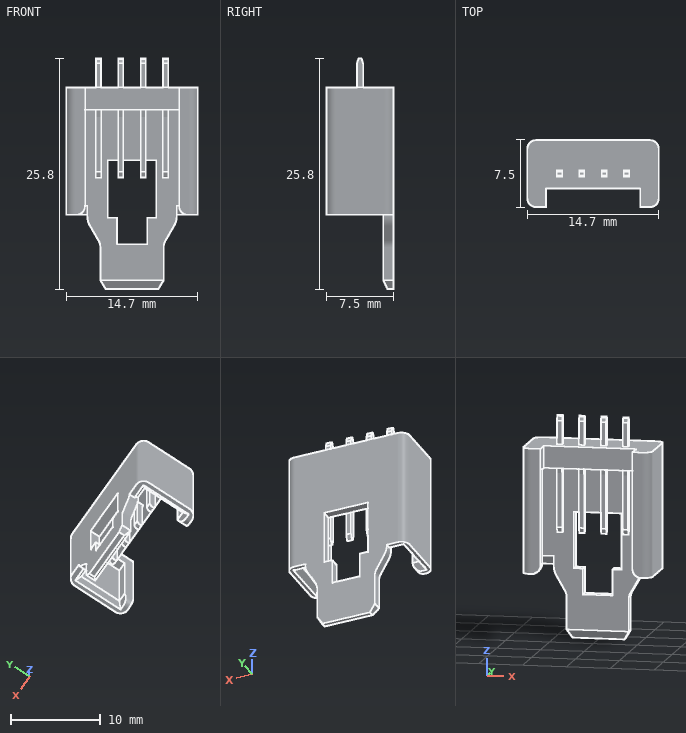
import cadquery as cq
import math

TOTAL_HEIGHT = 25.8
BODY_WIDTH = 14.7
BODY_DEPTH = 7.5
BODY_HEIGHT = 14.25
PIN_RISE = 3.28
BODY_TOP = TOTAL_HEIGHT - PIN_RISE
BODY_BOTTOM = BODY_TOP - BODY_HEIGHT
BACK = BODY_DEPTH / 2
FRONT = -BACK
CORNER_RADIUS = 1.0

WALL = 1.19
SIDE_WALL = 1.05
ROOF = 2.5
SLOT_WIDTH = 10.5
TOP_NOTCH_DEPTH = 2.1
CAVITY_WIDTH = BODY_WIDTH - 2 * SIDE_WALL
CAVITY_FRONT = FRONT + WALL
CAVITY_BACK = BACK - WALL
CAVITY_TOP = BODY_TOP - ROOF

BEVEL_HEIGHT = 1.0
BEVEL_DEPTH = 0.5
FOOT_SIDE_INSET = 0.6

TONGUE_WIDTH = 10.0
TONGUE_TIP_WIDTH = 7.1
TAPER_ANGLE = math.radians(30)
TAPER_TOP = BODY_BOTTOM - 0.15
SHOULDER_RADIUS = 2.0
NECK_RADIUS = 1.4

WINDOW_TOP = BODY_TOP - 8.15
WINDOW_STEP = BODY_TOP - 14.55
WINDOW_BOTTOM = BODY_TOP - 17.5
WINDOW_WIDTH = 5.4
WINDOW_LOWER_WIDTH = 3.35

PIN_COUNT = 4
PIN_PITCH = 2.5
PIN_WIDTH = 0.6
PIN_THICKNESS = 0.72
PIN_BOTTOM = BODY_TOP - 10.05
PIN_TOP_TAPER = 0.6
PIN_TOP_NOSE = 0.1
PIN_BOTTOM_TAPER = 0.65
PIN_BOTTOM_NOSE = 0.15
PIN_NOSE_WIDTH = 0.39
PIN_ROOT_LENGTH = 0.77
PIN_ROOT_FLARE = 0.13


def box(width, y_range, z_range):
    """A block centred on X that fills the given Y and Z ranges."""
    (y0, y1), (z0, z1) = y_range, z_range
    return cq.Workplane("XY", origin=(0, (y0 + y1) / 2, z0)).box(
        width, y1 - y0, z1 - z0, centered=(True, True, False)
    )


def make_shell():
    """Rounded block with the top front notch, the socket and its front slot."""
    shell = box(BODY_WIDTH, (FRONT, BACK), (BODY_BOTTOM, BODY_TOP)).edges("|Z").fillet(CORNER_RADIUS)
    shell = shell.cut(box(SLOT_WIDTH, (FRONT, FRONT + TOP_NOTCH_DEPTH), (BODY_BOTTOM, BODY_TOP)))
    shell = shell.cut(box(CAVITY_WIDTH, (CAVITY_FRONT, CAVITY_BACK), (BODY_BOTTOM, CAVITY_TOP)))
    return shell.cut(make_mouth()).cut(make_lip_rounding())


def make_mouth():
    """Cutter for the bevelled lead-in around all four walls of the socket."""
    half = CAVITY_WIDTH / 2
    depth = CAVITY_BACK - CAVITY_FRONT
    middle = (CAVITY_BACK + CAVITY_FRONT) / 2
    return (
        cq.Workplane("XY", origin=(0, middle, BODY_BOTTOM))
        .rect(2 * (half + BEVEL_DEPTH), depth + 2 * BEVEL_DEPTH)
        .workplane(offset=BEVEL_HEIGHT)
        .rect(2 * half, depth)
        .loft()
    )


def make_lip_rounding():
    """Cutter that rounds the lower inner corners of the two front lips."""
    half = SLOT_WIDTH / 2
    r = CORNER_RADIUS
    reach = r * (1 - math.cos(math.radians(45)))
    return (
        cq.Workplane("XZ", origin=(0, CAVITY_FRONT, 0))
        .moveTo(-half - r, BODY_BOTTOM)
        .threePointArc((-half - reach, BODY_BOTTOM + reach), (-half, BODY_BOTTOM + r))
        .lineTo(half, BODY_BOTTOM + r)
        .threePointArc((half + reach, BODY_BOTTOM + reach), (half + r, BODY_BOTTOM))
        .close()
        .extrude(WALL)
    )


def make_tongue():
    """Plate flush with the back wall, tapered in width and bevelled at the foot."""
    top_x = TONGUE_WIDTH / 2
    neck_x = TONGUE_TIP_WIDTH / 2
    sin_a, cos_a = math.sin(TAPER_ANGLE), math.cos(TAPER_ANGLE)
    sin_half, cos_half = math.sin(TAPER_ANGLE / 2), math.cos(TAPER_ANGLE / 2)
    arcs_inset = (SHOULDER_RADIUS + NECK_RADIUS) * (1 - cos_a)
    slope_drop = (top_x - neck_x - arcs_inset) / math.tan(TAPER_ANGLE)

    slope_top = (top_x - SHOULDER_RADIUS * (1 - cos_a), TAPER_TOP - SHOULDER_RADIUS * sin_a)
    slope_bottom_z = slope_top[1] - slope_drop
    slope_bottom = (neck_x + NECK_RADIUS * (1 - cos_a), slope_bottom_z)
    neck_z = slope_bottom_z - NECK_RADIUS * sin_a
    shoulder_mid = (top_x - SHOULDER_RADIUS * (1 - cos_half), TAPER_TOP - SHOULDER_RADIUS * sin_half)
    neck_mid = (neck_x + NECK_RADIUS * (1 - cos_half), neck_z + NECK_RADIUS * sin_half)

    half_tongue = (
        cq.Workplane("XZ", origin=(0, BACK, 0))
        .moveTo(0, 0)
        .lineTo(neck_x - FOOT_SIDE_INSET, 0)
        .lineTo(neck_x, BEVEL_HEIGHT)
        .lineTo(neck_x, neck_z)
        .threePointArc(neck_mid, slope_bottom)
        .lineTo(*slope_top)
        .threePointArc(shoulder_mid, (top_x, TAPER_TOP))
        .lineTo(top_x, WINDOW_TOP)
        .lineTo(0, WINDOW_TOP)
        .close()
        .extrude(WALL)
    )
    foot_bevel = (
        cq.Workplane("YZ")
        .polyline([(CAVITY_BACK, 0), (CAVITY_BACK + BEVEL_DEPTH, 0), (CAVITY_BACK, BEVEL_HEIGHT)])
        .close()
        .extrude(TONGUE_WIDTH / 2, both=True)
    )
    return half_tongue.union(half_tongue.mirror("YZ")).cut(foot_bevel)


def make_window():
    """Stepped opening, wide above and narrow below."""
    y_range = (CAVITY_BACK, BACK)
    upper = box(WINDOW_WIDTH, y_range, (WINDOW_STEP, WINDOW_TOP))
    return upper.union(box(WINDOW_LOWER_WIDTH, y_range, (WINDOW_BOTTOM, WINDOW_STEP)))


def make_pin(x):
    """One contact: tapered, rounded ends and a front flare under the socket roof."""
    half = PIN_THICKNESS / 2
    nose = PIN_NOSE_WIDTH / 2
    return (
        cq.Workplane("YZ", origin=(x - PIN_WIDTH / 2, 0, 0))
        .moveTo(-half, PIN_BOTTOM + PIN_BOTTOM_TAPER)
        .lineTo(-nose, PIN_BOTTOM + PIN_BOTTOM_NOSE)
        .threePointArc((0, PIN_BOTTOM), (nose, PIN_BOTTOM + PIN_BOTTOM_NOSE))
        .lineTo(half, PIN_BOTTOM + PIN_BOTTOM_TAPER)
        .lineTo(half, TOTAL_HEIGHT - PIN_TOP_TAPER)
        .lineTo(nose, TOTAL_HEIGHT - PIN_TOP_NOSE)
        .threePointArc((0, TOTAL_HEIGHT), (-nose, TOTAL_HEIGHT - PIN_TOP_NOSE))
        .lineTo(-half, TOTAL_HEIGHT - PIN_TOP_TAPER)
        .lineTo(-half, CAVITY_TOP)
        .lineTo(-half - PIN_ROOT_FLARE, CAVITY_TOP)
        .lineTo(-half, CAVITY_TOP - PIN_ROOT_LENGTH)
        .close()
        .extrude(PIN_WIDTH)
    )


connector = make_shell().union(make_tongue()).cut(make_window())
for index in range(PIN_COUNT):
    connector = connector.union(make_pin((index - (PIN_COUNT - 1) / 2) * PIN_PITCH))

result = connector